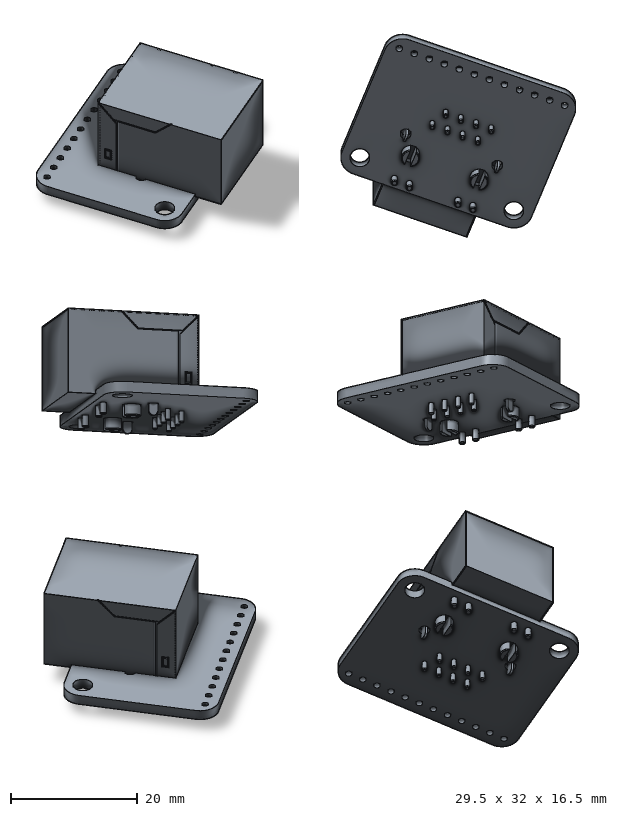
import cadquery as cq
import math


board_length = 25.0
board_width = 32.0
board_thickness = 1.7
corner_radius = 3.0
mounting_hole_diameter = 3.1

header_hole_count = 12
header_hole_diameter = 1.02
header_row_span = 27.9
header_row_x = 2.0

jack_rear_x = 8.1
jack_front_x = 29.45
jack_width = 15.85
jack_bottom_z = 1.15
jack_top_z = 14.7
jack_length = jack_front_x - jack_rear_x
jack_height = jack_top_z - jack_bottom_z
jack_side_y = jack_width / 2

sheet_thickness = 0.2
slit_width = 0.13
top_flap_height = 2.62
top_flap_front_x = 18.0
top_flap_bottom_z = jack_top_z - top_flap_height
rear_flap_front_x = 11.17
side_panel_rear_x = 11.4
side_panel_bend_length = 0.35
window_rear_x = 9.2
window_length = 1.15
window_bottom_z = 3.52
window_height = 1.92

tab_x = 15.52
tab_width = 1.47
tab_thickness = 0.4
tab_tip_height = 0.58
tab_hole_diameter = 1.7
tab_y = jack_side_y - tab_thickness / 2

lug_side_gap = 0.13
lug_top_gap = 0.13
lug_bottom_gap = 0.3
lug_chamfer = 0.13

pin_bottom_z = -1.82
pin_length = jack_bottom_z - pin_bottom_z
pin_chamfer = 0.15
contact_count = 8
contact_pitch = 1.28
contact_diameter = 0.8
contact_row_xs = (9.63, 12.22)
led_pin_diameter = 1.02
led_pin_x = 23.4
led_pin_ys = (4.1, 6.62)
peg_diameter = 2.88
peg_x = 18.5
peg_y = 5.8
peg_slot_width = 1.0

contact_points = [
    (contact_row_xs[i % len(contact_row_xs)], (i - (contact_count - 1) / 2) * contact_pitch)
    for i in range(contact_count)
]
led_pin_points = [(led_pin_x, side * y) for side in (-1, 1) for y in led_pin_ys]
peg_points = [(peg_x, -peg_y), (peg_x, peg_y)]
tab_points = [(tab_x, -tab_y), (tab_x, tab_y)]


def block(x, y, z, length, width, height):
    """Box with its rear lower edge at x, z and centred on y."""
    return cq.Workplane("XY").box(length, width, height, centered=(False, True, False)).translate((x, y, z))


def jack_envelope():
    return block(jack_rear_x, 0, jack_bottom_z, jack_length, jack_width, jack_height)


def on_both_sides(shape):
    """The shape together with its mirror image across the middle plane."""
    return shape.union(shape.mirror("XZ"))


def board_holes(points, diameter):
    return cq.Workplane("XY").pushPoints(points).circle(diameter / 2).extrude(board_thickness)


def make_board():
    board = block(0, 0, 0, board_length, board_width, board_thickness)
    board = board.edges("|Z").fillet(corner_radius)

    header_pitch = header_row_span / (header_hole_count - 1)
    header_points = [
        (header_row_x, i * header_pitch - header_row_span / 2) for i in range(header_hole_count)
    ]
    board = board.cut(board_holes(header_points, header_hole_diameter))

    mounting_x = board_length - corner_radius
    mounting_y = board_width / 2 - corner_radius
    mounting_points = [(mounting_x, -mounting_y), (mounting_x, mounting_y)]
    board = board.cut(board_holes(mounting_points, mounting_hole_diameter))

    board = board.cut(jack_envelope())
    board = board.cut(board_holes(contact_points, contact_diameter))
    board = board.cut(board_holes(led_pin_points, led_pin_diameter))
    board = board.cut(board_holes(peg_points, peg_diameter))
    return board.cut(board_holes(tab_points, tab_hole_diameter))


def insert_block():
    """Filling of the shield, flush with its open front and bottom."""
    return block(
        jack_rear_x + sheet_thickness,
        0,
        jack_bottom_z,
        jack_length - sheet_thickness,
        jack_width - 2 * sheet_thickness,
        jack_height - sheet_thickness,
    )


def round_pins(points, diameter):
    pins = cq.Workplane("XY").workplane(offset=pin_bottom_z).pushPoints(points)
    pins = pins.circle(diameter / 2).extrude(pin_length)
    return pins.faces("<Z").chamfer(pin_chamfer)


def split_pegs():
    """Locating pegs, each split in two by a slot along X."""
    pegs = round_pins(peg_points, peg_diameter)
    for x, y in peg_points:
        slot_rear_x = x - peg_diameter / 2
        pegs = pegs.cut(block(slot_rear_x, y, pin_bottom_z, peg_diameter, peg_slot_width, pin_length))
    return pegs


def latch_lug():
    """Lug on the -Y side of the insert, flush with the outside of the shield."""
    lug = block(
        window_rear_x + lug_side_gap,
        -jack_side_y + sheet_thickness / 2,
        window_bottom_z + lug_bottom_gap,
        window_length - 2 * lug_side_gap,
        sheet_thickness,
        window_height - lug_bottom_gap - lug_top_gap,
    )
    return lug.faces("<Y").edges("|Z or >Z").chamfer(lug_chamfer)


def make_insert():
    insert = insert_block().union(on_both_sides(latch_lug()))
    insert = insert.union(round_pins(contact_points, contact_diameter))
    insert = insert.union(round_pins(led_pin_points, led_pin_diameter))
    return insert.union(split_pegs())


def side_sheet_cut(corners):
    """Cutter through the -Y sheet of the shield, from the X and Z of its corners."""
    sheet_inside = cq.Workplane("XZ", origin=(0, -jack_side_y + sheet_thickness, 0))
    return sheet_inside.polyline(corners).close().extrude(sheet_thickness)


def top_flap_slit():
    """Slit below the flap that hangs from the top: two 45 degree ends and a level middle."""
    flap_rear_x = jack_rear_x + top_flap_height
    flap_top_front_x = top_flap_front_x + top_flap_height
    slant_offset = slit_width * math.sqrt(2)
    corner_offset = slit_width * math.tan(math.radians(45 / 2))
    return side_sheet_cut(
        [
            (jack_rear_x, jack_top_z),
            (flap_rear_x, top_flap_bottom_z),
            (top_flap_front_x, top_flap_bottom_z),
            (flap_top_front_x, jack_top_z),
            (flap_top_front_x + slant_offset, jack_top_z),
            (top_flap_front_x + corner_offset, top_flap_bottom_z - slit_width),
            (flap_rear_x - corner_offset, top_flap_bottom_z - slit_width),
            (jack_rear_x, jack_top_z - slant_offset),
        ]
    )


def rear_flap_gap():
    """Gap between the rear flap and the side panel; the flap's upper corner follows the 45 degree slit."""
    gap_top_z = top_flap_bottom_z - slit_width / 2
    slit_lower_x = jack_rear_x + jack_top_z - slit_width * math.sqrt(2)
    return side_sheet_cut(
        [
            (slit_lower_x - gap_top_z, gap_top_z),
            (side_panel_rear_x, gap_top_z),
            (side_panel_rear_x, jack_bottom_z),
            (rear_flap_front_x, jack_bottom_z),
            (rear_flap_front_x, slit_lower_x - rear_flap_front_x),
        ]
    )


def side_panel_bend():
    """Material removed where the rear edge of the side panel curves in to the insert."""
    outer_y = -jack_side_y
    inner_y = outer_y + sheet_thickness
    tangent_x = side_panel_rear_x + side_panel_bend_length
    bend_radius = (side_panel_bend_length**2 + sheet_thickness**2) / (2 * sheet_thickness)
    half_angle = math.asin(side_panel_bend_length / bend_radius) / 2
    arc_middle = (
        tangent_x - bend_radius * math.sin(half_angle),
        outer_y + bend_radius * (1 - math.cos(half_angle)),
    )
    profile = (
        cq.Workplane("XY", origin=(0, 0, jack_bottom_z))
        .moveTo(tangent_x, outer_y)
        .threePointArc(arc_middle, (side_panel_rear_x, inner_y))
        .lineTo(side_panel_rear_x, outer_y)
        .close()
    )
    return profile.extrude(top_flap_bottom_z - slit_width / 2 - jack_bottom_z)


def latch_window():
    sheet_middle_y = -jack_side_y + sheet_thickness / 2
    return block(
        window_rear_x, sheet_middle_y, window_bottom_z, window_length, sheet_thickness, window_height
    )


def solder_tab():
    """Flat tab under the -Y side of the shield, with an arched tip."""
    shoulder_z = pin_bottom_z + tab_tip_height
    outline = (
        cq.Workplane("XZ", origin=(0, -jack_side_y + tab_thickness, 0))
        .moveTo(tab_x - tab_width / 2, jack_bottom_z)
        .lineTo(tab_x - tab_width / 2, shoulder_z)
        .threePointArc((tab_x, pin_bottom_z), (tab_x + tab_width / 2, shoulder_z))
        .lineTo(tab_x + tab_width / 2, jack_bottom_z)
        .close()
    )
    return outline.extrude(tab_thickness)


def make_shield():
    shield = jack_envelope().cut(insert_block())
    for cut in (top_flap_slit(), rear_flap_gap(), side_panel_bend(), latch_window()):
        shield = shield.cut(on_both_sides(cut))
    return shield.union(on_both_sides(solder_tab()))


board = make_board()
insert = make_insert()
shield = make_shield()

result = cq.Compound.makeCompound([board.solids().val(), insert.solids().val(), shield.solids().val()])